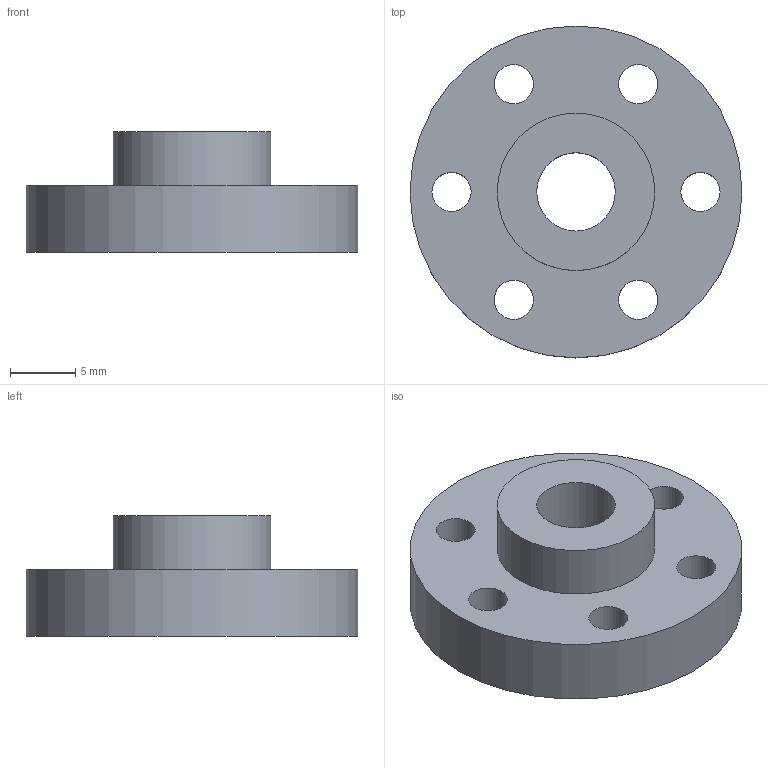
import cadquery as cq

flange_diameter = 25.4
flange_thickness = 5.13

hub_diameter = 12.06
overall_height = 9.21
hub_height = overall_height - flange_thickness
bore_diameter = 6.0

bolt_hole_count = 6
bolt_hole_diameter = 3.0
bolt_circle_diameter = 19.05


def make_body():
    """Flange disc standing on Z = 0 with the hub on top."""
    flange = cq.Workplane("XY").circle(flange_diameter / 2).extrude(flange_thickness)
    return flange.faces(">Z").workplane().circle(hub_diameter / 2).extrude(hub_height)


def make_bore():
    """Central bore through the hub and flange."""
    return cq.Workplane("XY").circle(bore_diameter / 2).extrude(overall_height)


def make_bolt_holes():
    """Ring of plain holes through the flange."""
    return (
        cq.Workplane("XY")
        .polarArray(bolt_circle_diameter / 2, 0, 360, bolt_hole_count)
        .circle(bolt_hole_diameter / 2)
        .extrude(flange_thickness)
    )


result = make_body().cut(make_bore()).cut(make_bolt_holes())